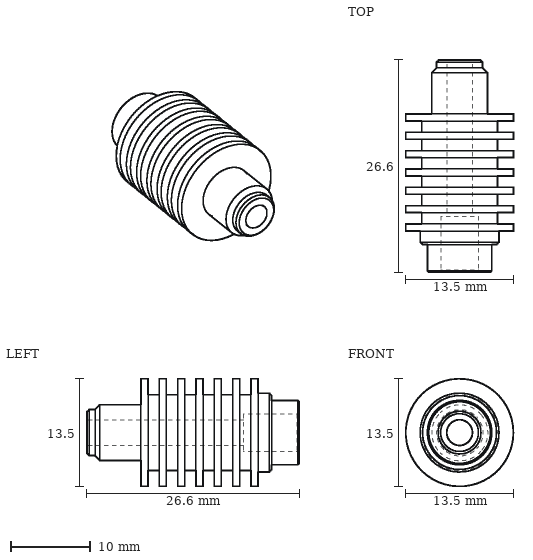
import cadquery as cq

length = 26.6

fin_count = 7
fin_radius = 6.75
fin_thickness = 0.9
finned_length = 14.68
fin_pitch = (finned_length - fin_thickness) / (fin_count - 1)
core_radius = 4.75

boss_radius = 4.05
boss_length = 3.45
boss_chamfer = 0.19
collar_radius = 4.95
collar_length = 1.7
collar_chamfer = 0.32

pin_radius = 3.5
nose_radius = 2.9
nose_length = 1.0
nose_chamfer = 0.3
pin_bevel = pin_radius - nose_radius

counterbore_radius = 2.37
counterbore_depth = 7.0
mouth_chamfer = 0.32
hole_radius = 1.6

front_y = -length / 2
rear_y = length / 2
collar_y = front_y + boss_length
fins_y = collar_y + collar_length
pin_y = fins_y + finned_length
nose_y = rear_y - nose_length


def cylinder(radius, start_y, end_y):
    """Solid cylinder on the Y axis between two positions."""
    plane = cq.Workplane("XZ", origin=(0, start_y, 0))
    return plane.circle(radius).extrude(start_y - end_y)


boss = cylinder(boss_radius, front_y, collar_y).faces("<Y").chamfer(boss_chamfer)
collar = cylinder(collar_radius, collar_y, fins_y).faces("<Y").chamfer(collar_chamfer)
core = cylinder(core_radius, fins_y, pin_y)
pin = cylinder(pin_radius, pin_y, nose_y).faces(">Y").chamfer(pin_bevel)
nose = cylinder(nose_radius, nose_y, rear_y).faces(">Y").chamfer(nose_chamfer)

body = core.union(boss).union(collar).union(pin).union(nose)
for index in range(fin_count):
    fin_y = fins_y + index * fin_pitch
    body = body.union(cylinder(fin_radius, fin_y, fin_y + fin_thickness))

body = body.cut(cylinder(counterbore_radius, front_y, front_y + counterbore_depth))
body = body.cut(cylinder(hole_radius, front_y, rear_y))

mouth_edge = body.faces("<Y").edges(cq.selectors.RadiusNthSelector(0))
result = mouth_edge.chamfer(mouth_chamfer)